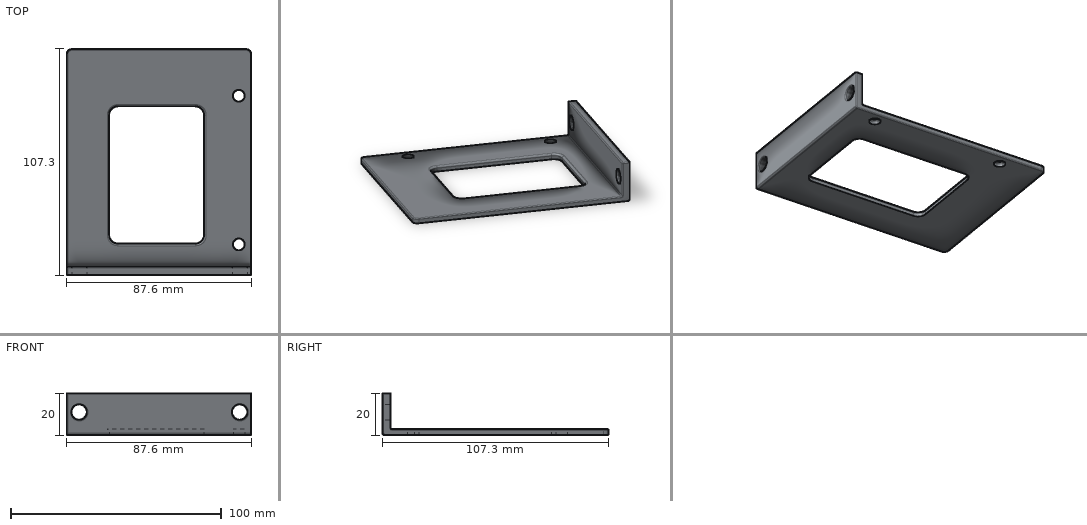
import cadquery as cq

width = 87.6
length = 107.3
height = 20.0
plate_thickness = 2.9
wall_thickness = 4.0

edge_radius = 0.5
heel_radius = 1.0
plate_corner_radius = 2.5

window_width = 46.9
window_length = 67.0
window_left = 19.2
window_front = 14.1
window_corner_radius = 5.0
window_rim_radius = 1.0

plate_hole_diameter = 5.5
plate_hole_side_margin = 5.9
plate_hole_front = 14.6
plate_hole_spacing = 70.5

wall_hole_diameter = 7.2
wall_hole_left = 5.9
wall_hole_spacing = 76.2
wall_hole_drop = 9.0
wall_hole_rim_radius = edge_radius


def bracket():
    """Plate with an upright wall along its front end and rounded edges."""
    body = (
        cq.Workplane("YZ")
        .polyline([
            (0, 0),
            (length, 0),
            (length, plate_thickness),
            (wall_thickness, plate_thickness),
            (wall_thickness, height),
            (0, height),
        ])
        .close()
        .extrude(width)
    )
    body = body.edges("|Z and >Y").fillet(plate_corner_radius)
    heel = cq.selectors.NearestToPointSelector((width / 2, 0, 0))
    body = body.edges(heel).fillet(heel_radius)
    inner_corner = cq.selectors.NearestToPointSelector((width / 2, wall_thickness, plate_thickness))
    body = body.edges(inner_corner).fillet(edge_radius)
    body = body.faces("<X or >X or >Z or <Z").edges().fillet(edge_radius)
    return body


def cut_window(body):
    """Cut the rounded opening and round over its rim on the top face of the plate."""
    throat_width = window_width - 2 * window_rim_radius
    throat_length = window_length - 2 * window_rim_radius
    center_x = window_left + window_width / 2
    center_y = window_front + window_length / 2
    throat = (
        cq.Workplane("XY")
        .center(center_x, center_y)
        .rect(throat_width, throat_length)
        .extrude(plate_thickness)
        .edges("|Z")
        .fillet(window_corner_radius - window_rim_radius)
    )
    rim_side = cq.selectors.NearestToPointSelector(
        (center_x - throat_width / 2, center_y, plate_thickness)
    )
    return body.cut(throat).edges(rim_side).fillet(window_rim_radius)


def plate_holes():
    """Two plain holes near the right side of the plate."""
    hole_x = width - plate_hole_side_margin
    return (
        cq.Workplane("XY")
        .pushPoints([(hole_x, plate_hole_front + i * plate_hole_spacing) for i in range(2)])
        .circle(plate_hole_diameter / 2)
        .extrude(plate_thickness)
    )


def wall_hole(hole_x):
    """Hole along Y, rounded over where it enters the front face of the wall."""
    radius = wall_hole_diameter / 2
    mouth_radius = radius + wall_hole_rim_radius
    hole_z = height - wall_hole_drop
    return (
        cq.Workplane("XY")
        .lineTo(mouth_radius, 0)
        .radiusArc((radius, wall_hole_rim_radius), wall_hole_rim_radius)
        .lineTo(radius, wall_thickness)
        .lineTo(0, wall_thickness)
        .close()
        .revolve(360, (0, 0), (0, 1))
        .translate((hole_x, 0, hole_z))
    )


result = cut_window(bracket()).cut(plate_holes())
for i in range(2):
    result = result.cut(wall_hole(wall_hole_left + i * wall_hole_spacing))